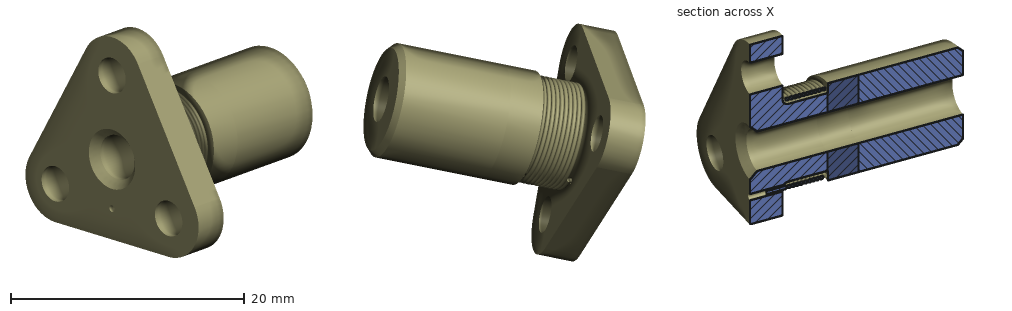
import cadquery as cq
import math


FLANGE_THICKNESS = 3.18
CORNER_COUNT = 3
CORNER_CIRCLE_RADIUS = 7.62
CORNER_RADIUS = 3.49
BOLT_HOLE_DIAMETER = 3.2
TOP_CORNER_ANGLE = 90.0

BORE_DIAMETER = 4.0
BORE_CHAMFER = 0.7

WIRE_DIAMETER = 0.38
COIL_MEAN_RADIUS = 4.5
COIL_TURNS = 10
COIL_PITCH = 0.39
COIL_RISE = COIL_TURNS * COIL_PITCH

LEG_DIAMETER = 0.4
LEG_HOLE_DIAMETER = 0.6
LEG_END_DEPTH = FLANGE_THICKNESS / 2
COIL_START = FLANGE_THICKNESS + LEG_DIAMETER / 2

NECK_DIAMETER = 8.0
NECK_LENGTH = COIL_RISE + LEG_DIAMETER
NECK_ROOT_FILLET = 0.5
NECK_END = FLANGE_THICKNESS + NECK_LENGTH

SLEEVE_DIAMETER = 10.0
COLLAR_LENGTH = 3.0
COLLAR_END = NECK_END + COLLAR_LENGTH
CAP_LENGTH = 10.0
CAP_CHAMFER = 0.5

FUSE_TOLERANCE = 0.0001


def disc(diameter, start, length):
    """Cylinder on the Y axis from Y = start to Y = start + length."""
    return cq.Workplane("XZ", origin=(0, start, 0)).circle(diameter / 2).extrude(-length)


def tube(start, length):
    """Sleeve section with the bore through it."""
    return disc(SLEEVE_DIAMETER, start, length).cut(disc(BORE_DIAMETER, start, length))


def corner_centres():
    """X, Z positions of the three flange corners."""
    angles = [math.radians(TOP_CORNER_ANGLE + i * 360 / CORNER_COUNT) for i in range(CORNER_COUNT)]
    return [(CORNER_CIRCLE_RADIUS * math.cos(a), CORNER_CIRCLE_RADIUS * math.sin(a)) for a in angles]


def make_flange():
    plate = (
        cq.Workplane("XZ")
        .polyline(corner_centres())
        .close()
        .offset2D(CORNER_RADIUS)
        .extrude(-FLANGE_THICKNESS)
    )
    neck = disc(NECK_DIAMETER, FLANGE_THICKNESS, NECK_LENGTH)
    neck_root = cq.selectors.RadiusNthSelector(-1)
    body = plate.union(neck).faces(">Y[-2]").edges(neck_root).fillet(NECK_ROOT_FILLET)

    bolt_holes = (
        cq.Workplane("XZ")
        .pushPoints(corner_centres())
        .circle(BOLT_HOLE_DIAMETER / 2)
        .extrude(-FLANGE_THICKNESS)
    )
    bore = disc(BORE_DIAMETER, 0, NECK_END)
    leg_hole = disc(LEG_HOLE_DIAMETER, 0, NECK_END).translate((0, 0, -COIL_MEAN_RADIUS))
    bore_mouth = cq.Workplane(
        cq.Solid.makeCone(
            BORE_DIAMETER / 2 + BORE_CHAMFER,
            BORE_DIAMETER / 2,
            BORE_CHAMFER,
            pnt=cq.Vector(0, 0, 0),
            dir=cq.Vector(0, 1, 0),
        )
    )
    return body.cut(bolt_holes).cut(bore).cut(bore_mouth).cut(leg_hole)


def make_coil():
    """Wire starting at its leg below the neck and winding toward +Y, first toward +X."""
    path = cq.Workplane(cq.Wire.makeHelix(COIL_PITCH, COIL_RISE, COIL_MEAN_RADIUS, lefthand=True))
    coil = (
        cq.Workplane("XZ", origin=(COIL_MEAN_RADIUS, 0, 0))
        .circle(WIRE_DIAMETER / 2)
        .sweep(path, isFrenet=True)
    )
    coil = coil.rotate((0, 0, 0), (1, 0, 0), -90).rotate((0, 0, 0), (0, 1, 0), 90)
    coil = coil.translate((0, COIL_START, 0))
    leg = disc(LEG_DIAMETER, LEG_END_DEPTH, COIL_START - LEG_END_DEPTH).translate((0, 0, -COIL_MEAN_RADIUS))
    return coil.union(leg, tol=FUSE_TOLERANCE)


def make_collar():
    return tube(NECK_END, COLLAR_LENGTH)


def make_cap():
    outer_rim = cq.selectors.RadiusNthSelector(-1)
    return tube(COLLAR_END, CAP_LENGTH).faces(">Y").edges(outer_rim).chamfer(CAP_CHAMFER)


flange = make_flange()
coil = make_coil()
collar = make_collar()
cap = make_cap()

result = cq.Compound.makeCompound([flange.val(), coil.val(), collar.val(), cap.val()])